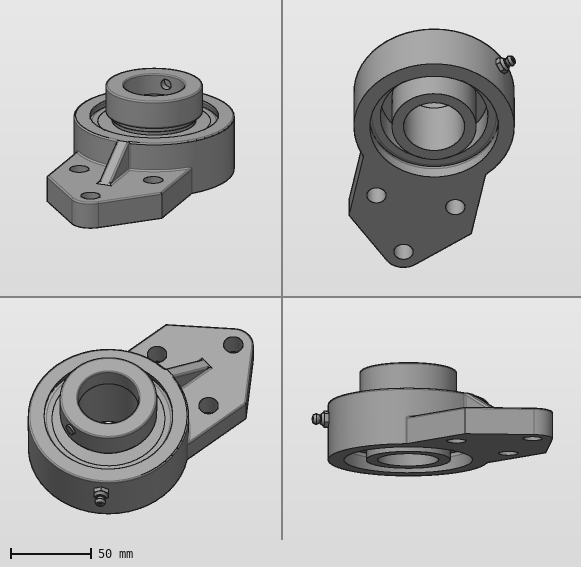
import cadquery as cq
import math

barrel_radius = 50.0
barrel_height = 35.5
barrel_edge_fillet = 1.0
overall_length = 164.0
flange_half_width = 38.8
flange_thickness = 17.0
flange_edge_fillet = 1.0
flange_shoulder_y = -79.4
flange_tip_y = barrel_radius - overall_length
flange_tip_radius = 12.5
flange_tip_center_y = flange_tip_y + flange_tip_radius
bolt_diameter = 12.0
bolt_positions = [(-25.0, -60.5), (25.0, -60.5), (0.0, flange_tip_center_y)]

rib_width = 8.0
rib_end_y = -80.2
rib_root_y = -barrel_radius + 5.0
rib_edge_fillet = 1.2
foot_fillet = 1.0
joint_reach = 20.0
joint_tolerance = 0.01

bearing_center_z = 21.0
mouth_diameter = 80.19
seat_diameter = 84.19
ring_half_width = 10.8
ring_edge_fillet = 2.5
ring_recess_diameter = 70.36
ring_shoulder_diameter = 67.03
ring_top_z = bearing_center_z + ring_half_width
ring_bottom_z = bearing_center_z - ring_half_width
seal_thickness = 2.5
seal_rise = 0.4
seal_bottom_z = ring_top_z - seal_thickness
neck_diameter = 52.39
nose_diameter = 48.77
nose_top_z = 42.5
bore_diameter = 38.1

collar_diameter = 60.3
skirt_diameter = 53.15
skirt_bottom_z = 34.4
collar_bottom_z = 37.7
collar_top_z = 55.89
collar_edge_fillet = 1.0
bore_fillet = 0.8
screw_diameter = 6.78
screw_z = 49.4
screw_tip_y = 24.5
screw_head_y = 31.6

nipple_z = 25.0
nipple_angle = 45.0
nipple_shank_diameter = 6.0
nipple_shank_start = 44.0
hex_across_flats = 9.0
hex_turn = 30.0
hex_end = 52.7
cone_end = 54.6
cone_end_radius = 3.2
nipple_neck_radius = 2.4
nipple_neck_end = 55.2
bead_root_radius = 2.75
bead_start = 55.9
bead_radius = 3.39
bead_crest = 57.6
tip_radius = 2.5
nipple_tip = 59.6
nipple_ball_diameter = 2.51
ball_protrusion = 0.6
ball_center = nipple_tip + ball_protrusion - nipple_ball_diameter / 2

seat_ball = cq.Workplane("XY").sphere(seat_diameter / 2).translate((0, 0, bearing_center_z))


def disc(diameter, bottom_z, top_z):
    return cq.Workplane("XY").workplane(offset=bottom_z).circle(diameter / 2).extrude(top_z - bottom_z)


def radial_plane():
    """Plane on the bearing axis whose normal points along the nipple."""
    return cq.Plane(origin=(0, 0, nipple_z), xDir=(1, 1, 0), normal=(-1, 1, 0))


def radial_rod(radius, start, end):
    return cq.Workplane(radial_plane()).workplane(offset=start).circle(radius).extrude(end - start)


def make_flange():
    dx = flange_half_width
    dy = flange_shoulder_y - flange_tip_center_y
    tangent_angle = math.atan2(dy, dx) - math.acos(flange_tip_radius / math.hypot(dx, dy))
    tangent_x = flange_tip_radius * math.cos(tangent_angle)
    tangent_y = flange_tip_center_y + flange_tip_radius * math.sin(tangent_angle)
    return (
        cq.Workplane("XY")
        .moveTo(-flange_half_width, 0)
        .lineTo(-flange_half_width, flange_shoulder_y)
        .lineTo(-tangent_x, tangent_y)
        .threePointArc((0, flange_tip_y), (tangent_x, tangent_y))
        .lineTo(flange_half_width, flange_shoulder_y)
        .lineTo(flange_half_width, 0)
        .close()
        .extrude(flange_thickness)
        .faces(">Z")
        .edges("not >Y")
        .fillet(flange_edge_fillet)
    )


def rib_wedge(width):
    """Triangular prism that slopes from the barrel rim down to the flange."""
    return (
        cq.Workplane("YZ")
        .moveTo(rib_end_y, flange_thickness)
        .lineTo(-barrel_radius, barrel_height)
        .lineTo(rib_root_y, barrel_height)
        .lineTo(rib_root_y, flange_thickness)
        .close()
        .extrude(width / 2, both=True)
    )


def make_rib():
    """Rib with rounded top edges and a concave fillet along each side of its foot."""
    blade = rib_wedge(rib_width).faces("<Y").edges("not |X").fillet(rib_edge_fillet)
    side = rib_width / 2
    bend = foot_fillet * (1 - math.sqrt(0.5))
    foot = (
        cq.Workplane("XZ", origin=(0, rib_root_y, flange_thickness))
        .moveTo(-side - foot_fillet, 0)
        .threePointArc((-side - bend, bend), (-side, foot_fillet))
        .lineTo(side, foot_fillet)
        .threePointArc((side + bend, bend), (side + foot_fillet, 0))
        .close()
        .extrude(rib_root_y - rib_end_y)
    )
    return blade.union(foot.intersect(rib_wedge(rib_width + 2 * foot_fillet)))


def make_housing():
    barrel = disc(2 * barrel_radius, 0, barrel_height).faces(">Z").edges().fillet(barrel_edge_fillet)
    body = barrel.union(make_flange()).union(make_rib())
    flange_joint = cq.selectors.BoxSelector(
        (-flange_half_width, -barrel_radius, flange_thickness - joint_tolerance),
        (flange_half_width, rib_root_y + joint_reach, flange_thickness + joint_tolerance),
        boundingbox=True,
    )
    body = body.edges(flange_joint).edges("%CIRCLE").fillet(foot_fillet)
    body = body.cut(disc(mouth_diameter, 0, barrel_height)).cut(seat_ball)
    bolts = cq.Workplane("XY").pushPoints(bolt_positions).circle(bolt_diameter / 2).extrude(flange_thickness)
    body = body.cut(bolts)
    return body.cut(radial_rod(nipple_shank_diameter / 2, nipple_shank_start, barrel_radius))


def make_outer_ring():
    ring = disc(seat_diameter, ring_bottom_z, ring_top_z).intersect(seat_ball)
    ring = ring.faces("|Z").edges().fillet(ring_edge_fillet)
    ring = ring.cut(disc(ring_shoulder_diameter, ring_bottom_z, ring_top_z))
    return ring.cut(disc(ring_recess_diameter, seal_bottom_z, ring_top_z))


def make_seal():
    """Flat-bottomed seal whose top rises slightly toward the inner ring."""
    return (
        cq.Workplane("XZ")
        .moveTo(neck_diameter / 2, seal_bottom_z)
        .lineTo(ring_recess_diameter / 2, seal_bottom_z)
        .lineTo(ring_recess_diameter / 2, ring_top_z)
        .lineTo(neck_diameter / 2, ring_top_z + seal_rise)
        .close()
        .revolve(360, (0, 0, 0), (0, 1, 0))
    )


def make_inner_ring():
    neck = disc(neck_diameter, 0, skirt_bottom_z)
    nose = disc(nose_diameter, skirt_bottom_z, nose_top_z)
    return neck.union(nose).cut(disc(bore_diameter, 0, nose_top_z))


def make_collar():
    body = disc(collar_diameter, collar_bottom_z, collar_top_z).faces("|Z").edges().fillet(collar_edge_fillet)
    body = body.union(disc(skirt_diameter, skirt_bottom_z, collar_bottom_z))
    body = body.cut(disc(bore_diameter, skirt_bottom_z, collar_top_z))
    bore_rim = cq.selectors.RadiusNthSelector(0)
    body = body.faces(">Z").edges("%CIRCLE").edges(bore_rim).fillet(bore_fillet)
    body = body.cut(disc(nose_diameter, skirt_bottom_z, nose_top_z))
    screw_hole = (
        cq.Workplane("XZ", origin=(0, 0, screw_z))
        .circle(screw_diameter / 2)
        .extrude(-collar_diameter / 2)
    )
    return body.cut(screw_hole)


def make_screw():
    return (
        cq.Workplane("XZ", origin=(0, screw_tip_y, screw_z))
        .circle(screw_diameter / 2)
        .extrude(screw_tip_y - screw_head_y)
    )


def make_nipple_ball():
    return cq.Workplane(radial_plane()).workplane(offset=ball_center).sphere(nipple_ball_diameter / 2)


def make_nipple():
    shank_radius = nipple_shank_diameter / 2
    turned_body = (
        cq.Workplane("XY")
        .moveTo(0, nipple_shank_start)
        .lineTo(shank_radius, nipple_shank_start)
        .lineTo(shank_radius, hex_end)
        .lineTo(hex_across_flats / 2, hex_end)
        .lineTo(cone_end_radius, cone_end)
        .lineTo(nipple_neck_radius, cone_end)
        .lineTo(nipple_neck_radius, nipple_neck_end)
        .lineTo(bead_root_radius, bead_start)
        .lineTo(bead_radius, bead_crest)
        .lineTo(tip_radius, nipple_tip)
        .lineTo(0, nipple_tip)
        .close()
        .revolve(360, (0, 0, 0), (0, 1, 0))
        .rotate((0, 0, 0), (0, 0, 1), nipple_angle)
        .translate((0, 0, nipple_z))
    )
    hex_across_corners = hex_across_flats / math.cos(math.pi / 6)
    hex_nut = (
        cq.Workplane(radial_plane())
        .workplane(offset=nipple_shank_start)
        .polygon(6, hex_across_corners)
        .extrude(hex_end - nipple_shank_start)
        .rotate((0, 0, nipple_z), (-1, 1, nipple_z), hex_turn)
        .cut(disc(2 * barrel_radius, 0, barrel_height))
    )
    return turned_body.union(hex_nut).cut(make_nipple_ball())


housing = make_housing()
outer_ring = make_outer_ring()
seal = make_seal()
inner_ring = make_inner_ring()
collar = make_collar()
screw = make_screw()
nipple = make_nipple()
nipple_ball = make_nipple_ball()

result = cq.Compound.makeCompound(
    [
        housing.val(),
        outer_ring.val(),
        seal.val(),
        inner_ring.val(),
        collar.val(),
        screw.val(),
        nipple.val(),
        nipple_ball.val(),
    ]
)